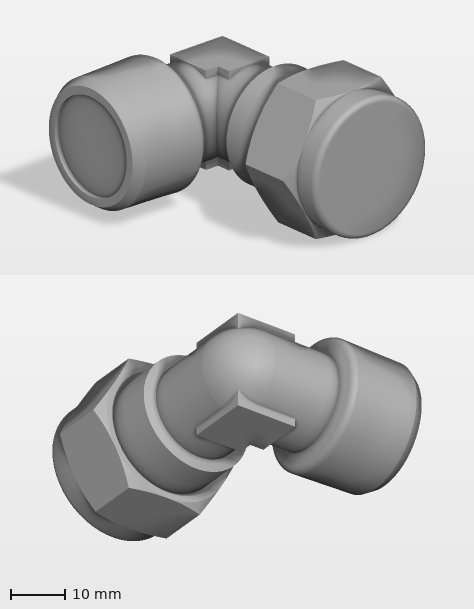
import cadquery as cq
import math

OVERALL_LENGTH = 55.25

ARM_RADIUS = 9.65

COLLAR_START = 14.45
COLLAR_RADIUS = 11.95
COLLAR_SHOULDER_LENGTH = 0.65
NUT_START = 23.9
NUT_END = 36.9
NUT_SIDES = 6
NUT_ACROSS_FLATS = 28.0
NUT_CHAMFER_ANGLE = 30
NUT_MOUTH_RADIUS = 12.75
NUT_SKIRT_RADIUS = 13.9
NUT_SKIRT_FILLET = 1.1

MALE_START = 14.6
MALE_END = 32.05
MALE_RADIUS = 13.3
MALE_TIP_RADIUS = 12.9
MALE_FACE_RADIUS = 11.65
MALE_TIP_CHAMFER_LENGTH = 2.05
MALE_SHOULDER_LENGTH = 0.95
MALE_SHOULDER_FILLET = 1.2
RECESS_RADIUS = 10.0
RECESS_DEPTH = 1.0

PAD_HALF_HEIGHT = 10.0
PAD_OUTER = 5.0
PAD_INNER = 8.0
PAD_NOTCH = 3.0


def x_cylinder(radius, start, end):
    return cq.Workplane("YZ").workplane(offset=start).circle(radius).extrude(end - start)


def make_elbow():
    ball = cq.Workplane("XY").sphere(ARM_RADIUS)
    x_arm = x_cylinder(ARM_RADIUS, 0, COLLAR_START)
    y_arm = cq.Workplane("XZ").circle(ARM_RADIUS).extrude(MALE_START)
    return ball.union(x_arm).union(y_arm)


def make_pads():
    """L-notched block whose top and bottom stand proud of the elbow."""
    notch_edge = PAD_INNER - PAD_NOTCH
    outline = [
        (-PAD_OUTER, PAD_OUTER),
        (PAD_INNER, PAD_OUTER),
        (PAD_INNER, -notch_edge),
        (notch_edge, -notch_edge),
        (notch_edge, -PAD_INNER),
        (-PAD_OUTER, -PAD_INNER),
    ]
    return (
        cq.Workplane("XY")
        .workplane(offset=-PAD_HALF_HEIGHT)
        .polyline(outline)
        .close()
        .extrude(2 * PAD_HALF_HEIGHT)
    )


def make_collar():
    """Round collar with a conical shoulder, running on through the nut."""
    outline = [
        (COLLAR_START, 0),
        (COLLAR_START, ARM_RADIUS),
        (COLLAR_START + COLLAR_SHOULDER_LENGTH, COLLAR_RADIUS),
        (NUT_END, COLLAR_RADIUS),
        (NUT_END, 0),
    ]
    return cq.Workplane("XY").polyline(outline).close().revolve(360, (0, 0), (1, 0))


def make_nut(skirt_end):
    """Chamfered hexagon with a 45-degree countersunk mouth at the collar, then a round skirt."""
    corner_diameter = NUT_ACROSS_FLATS / math.cos(math.pi / NUT_SIDES)
    flat_radius = NUT_ACROSS_FLATS / 2
    corner_radius = corner_diameter / 2
    chamfer_length = (corner_radius - flat_radius) * math.tan(math.radians(NUT_CHAMFER_ANGLE))
    hexagon = (
        cq.Workplane("YZ")
        .workplane(offset=NUT_START)
        .polygon(NUT_SIDES, corner_diameter)
        .extrude(NUT_END - NUT_START)
    )
    chamfered_outline = [
        (NUT_START, 0),
        (NUT_START, flat_radius),
        (NUT_START + chamfer_length, corner_radius),
        (NUT_END - chamfer_length, corner_radius),
        (NUT_END, flat_radius),
        (NUT_END, 0),
    ]
    envelope = cq.Workplane("XY").polyline(chamfered_outline).close().revolve(360, (0, 0), (1, 0))
    skirt = x_cylinder(NUT_SKIRT_RADIUS, NUT_END, skirt_end)
    skirt = skirt.faces(">X").edges().fillet(NUT_SKIRT_FILLET)
    mouth_depth = NUT_MOUTH_RADIUS - COLLAR_RADIUS
    mouth = (
        cq.Workplane("YZ")
        .workplane(offset=NUT_START)
        .circle(NUT_MOUTH_RADIUS)
        .workplane(offset=mouth_depth)
        .circle(COLLAR_RADIUS)
        .loft(ruled=True)
    )
    return hexagon.intersect(envelope).cut(mouth).union(skirt)


def make_male_end():
    """Slightly tapered body with a rounded conical shoulder, a chamfered tip and a shallow end recess."""
    outline = [
        (0, -MALE_START),
        (ARM_RADIUS, -MALE_START),
        (MALE_RADIUS, -MALE_START - MALE_SHOULDER_LENGTH),
        (MALE_TIP_RADIUS, -MALE_END + MALE_TIP_CHAMFER_LENGTH),
        (MALE_FACE_RADIUS, -MALE_END),
        (RECESS_RADIUS, -MALE_END),
        (RECESS_RADIUS, -MALE_END + RECESS_DEPTH),
        (0, -MALE_END + RECESS_DEPTH),
    ]
    body = cq.Workplane("XY").polyline(outline).close().revolve(360, (0, 0), (0, 1))
    widest_edge = cq.selectors.RadiusNthSelector(-1)
    return body.edges(widest_edge).fillet(MALE_SHOULDER_FILLET)


male_end = make_male_end()
skirt_end = OVERALL_LENGTH + male_end.val().BoundingBox().xmin

result = (
    make_elbow()
    .union(make_pads())
    .union(make_collar())
    .union(make_nut(skirt_end))
    .union(male_end)
)